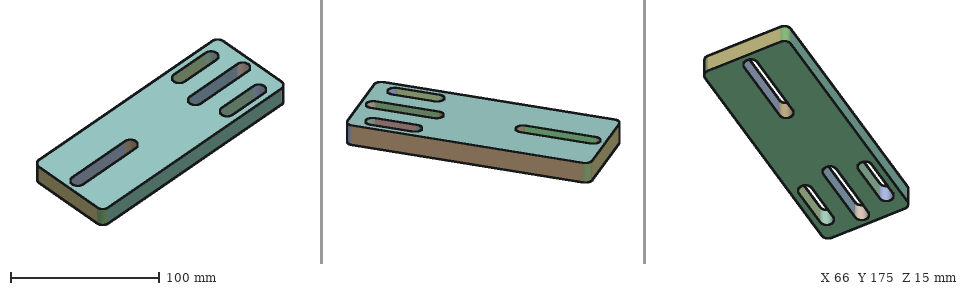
import cadquery as cq

plate_width = 66.0
plate_length = 175.0
plate_thickness = 15.0
corner_radius = 5.0

slot_width = 10.0
end_margin = 4.0
upper_slot_length = 55.0
lower_slot_length = 60.0
side_slot_length = 40.0
side_slot_offset = 23.0

upper_slot_y = plate_length / 2 - end_margin - upper_slot_length / 2
lower_slot_y = -plate_length / 2 + end_margin + lower_slot_length / 2


def cut_slots(body, length, centers):
    """Cut lengthwise slots through the plate at the given centers."""
    return (
        body.faces(">Z")
        .workplane(origin=(0, 0, 0))
        .pushPoints(centers)
        .slot2D(length, slot_width, angle=90)
        .cutThruAll()
    )


plate = cq.Workplane("XY").box(plate_width, plate_length, plate_thickness)
plate = plate.edges("|Z").fillet(corner_radius)

side_slot_centers = [(side * side_slot_offset, upper_slot_y) for side in (-1, 1)]
plate = cut_slots(plate, upper_slot_length, [(0, upper_slot_y)])
plate = cut_slots(plate, lower_slot_length, [(0, lower_slot_y)])
plate = cut_slots(plate, side_slot_length, side_slot_centers)

result = plate